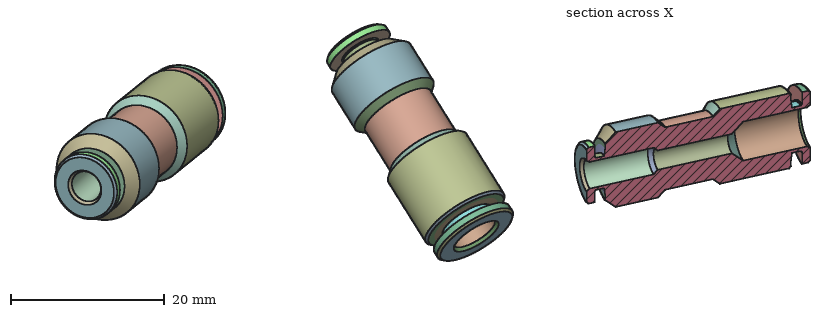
import cadquery as cq

length = 31.3
body_radius = 12.0 / 2
waist_radius = 10.02 / 2
through_radius = 3.0 / 2
shoulder = body_radius - waist_radius

small_flange_radius = 9.0 / 2
small_neck_radius = 5.2 / 2
small_bore_radius = 4.15 / 2
small_face_y = 2.6
small_nose = body_radius - small_flange_radius
small_body_end_y = 10.02

large_flange_radius = 11.5 / 2
large_neck_radius = 7.3 / 2
large_bore_radius = 6.15 / 2
large_face_y = 28.65
large_body_start_y = 18.65

flange_thickness = 1.2
flange_chamfer = 0.3
body_chamfer = 0.3
neck_flare = 0.15
lip_height = 0.13
lip_width = 1.13
bore_chamfer = 0.3
bore_chamfer_depth = 0.47
bore_depth = 9.4


def collar(flange_radius, neck_radius, face_distance):
    """Radius and distance from the tube end, from the flange rim to the body face."""
    return [
        (flange_radius - flange_chamfer, 0),
        (flange_radius, flange_chamfer),
        (flange_radius, flange_thickness),
        (neck_radius + neck_flare, flange_thickness),
        (neck_radius, flange_thickness + neck_flare),
        (neck_radius, face_distance - lip_height),
        (neck_radius + lip_width, face_distance),
    ]


def bore(radius):
    """Radius and distance from the tube end, from the 45 degree cone at its floor to its mouth."""
    return [
        (through_radius, bore_depth + radius - through_radius),
        (radius, bore_depth),
        (radius, bore_chamfer_depth),
        (radius + bore_chamfer, 0),
    ]


def from_large_end(points):
    """Convert distances from the large end to Y positions."""
    return [(radius, length - distance) for radius, distance in points]


small_collar = collar(small_flange_radius, small_neck_radius, small_face_y)
large_collar = from_large_end(
    collar(large_flange_radius, large_neck_radius, length - large_face_y)
)
large_bore = from_large_end(bore(large_bore_radius))

body = [
    (small_flange_radius, small_face_y),
    (body_radius, small_face_y + small_nose),
    (body_radius, small_body_end_y),
    (waist_radius, small_body_end_y + shoulder),
    (waist_radius, large_body_start_y - shoulder),
    (body_radius, large_body_start_y),
    (body_radius, large_face_y - body_chamfer),
    (body_radius - body_chamfer, large_face_y),
]

profile = (
    small_collar
    + body
    + large_collar[::-1]
    + large_bore[::-1]
    + bore(small_bore_radius)
)

result = (
    cq.Workplane("XY")
    .polyline(profile)
    .close()
    .revolve(360, (0, 0, 0), (0, 1, 0))
)